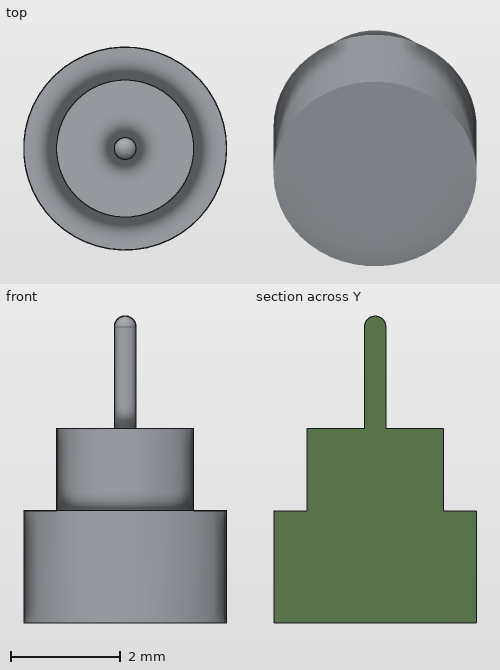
import cadquery as cq

total_height = 5.6
base_diameter = 3.7
base_height = 2.05
neck_diameter = 2.5
neck_height = 1.5
pin_diameter = 0.4

pin_radius = pin_diameter / 2
neck_top = base_height + neck_height
pin_length = total_height - neck_top

base = cq.Workplane("XY").circle(base_diameter / 2).extrude(base_height)
neck = cq.Workplane("XY").workplane(offset=base_height).circle(neck_diameter / 2).extrude(neck_height)

pin_shaft = cq.Workplane("XY").workplane(offset=neck_top).circle(pin_radius).extrude(pin_length - pin_radius)
pin_tip = cq.Workplane("XY").sphere(pin_radius).translate((0, 0, total_height - pin_radius))

result = base.union(neck).union(pin_shaft).union(pin_tip)